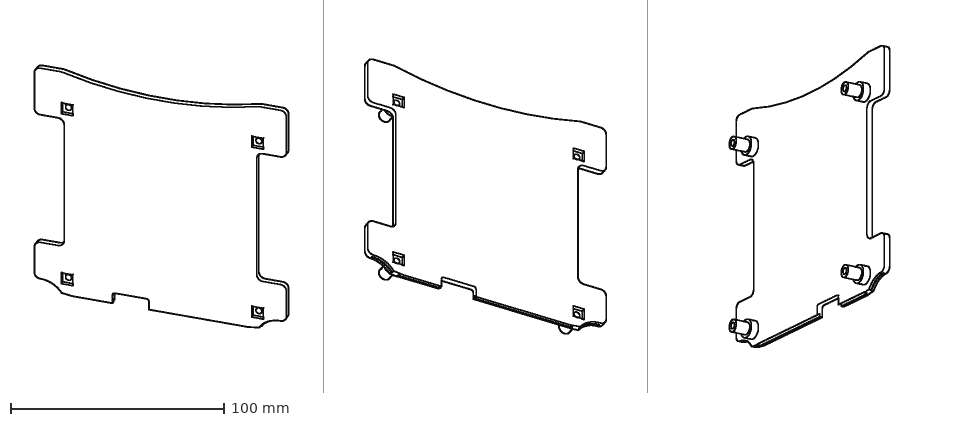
import cadquery as cq
import math

width = 126.0
height = 118.5
thickness = 3.0
half_width = width / 2

waist_half_width = 48.1
upper_arm_bottom = 93.6
lower_arm_top = 25.7
corner_radius = 3.0

top_arc_half_chord = 49.3
top_arc_depth = 6.2
top_blend_radius = 4.0

scallop_radius = 13.0
scallop_center_x = 60.5
scallop_center_z = -6.7
scallop_inner_z = 0.8
scallop_step = 0.5
bottom_flat_half_width = 43.7

lip_thickness = 1.5
groove_half_length = 45.9
groove_height = 1.5
groove_back_height = 0.5

notch_left = -24.0
notch_right = -5.8
notch_height = 5.5
notch_radius = 1.1

peg_columns = (-46.6, 48.5)
peg_rows = (8.6, 99.0)
collar_diameter = 9.0
collar_height = 3.9
pin_diameter = 6.0
pin_length = 7.5
bore_diameter = 3.0
socket_side = 5.8
socket_depth = 2.0


def scallop_point(angle):
    """Point on the right-hand scallop, with the angle measured from +X."""
    return (
        scallop_center_x + scallop_radius * math.cos(angle),
        scallop_center_z + scallop_radius * math.sin(angle),
    )


def mirrored(point):
    return (-point[0], point[1])


def fillet_upright(plate, x, z, radius):
    """Round the edge that crosses the plate thickness at (x, z)."""
    reach = 0.1
    box = cq.selectors.BoxSelector(
        (x - reach, -reach, z - reach),
        (x + reach, thickness + reach, z + reach),
    )
    return plate.edges(box).fillet(radius)


def build_plate():
    outer_angle = math.acos((half_width - scallop_center_x) / scallop_radius)
    inner_angle = math.pi - math.asin((scallop_inner_z - scallop_center_z) / scallop_radius)
    scallop_outer = scallop_point(outer_angle)
    scallop_middle = scallop_point((outer_angle + inner_angle) / 2)
    scallop_inner = scallop_point(inner_angle)

    plate = (
        cq.Workplane("XZ")
        .moveTo(-half_width, height)
        .lineTo(-top_arc_half_chord, height)
        .threePointArc((0, height - top_arc_depth), (top_arc_half_chord, height))
        .lineTo(half_width, height)
        .lineTo(half_width, upper_arm_bottom)
        .lineTo(waist_half_width, upper_arm_bottom)
        .lineTo(waist_half_width, lower_arm_top)
        .lineTo(half_width, lower_arm_top)
        .lineTo(*scallop_outer)
        .threePointArc(scallop_middle, scallop_inner)
        .lineTo(bottom_flat_half_width, 0)
        .lineTo(-bottom_flat_half_width, 0)
        .lineTo(*mirrored(scallop_inner))
        .threePointArc(mirrored(scallop_middle), mirrored(scallop_outer))
        .lineTo(-half_width, lower_arm_top)
        .lineTo(-waist_half_width, lower_arm_top)
        .lineTo(-waist_half_width, upper_arm_bottom)
        .lineTo(-half_width, upper_arm_bottom)
        .close()
        .extrude(-thickness)
    )

    for side in (-1, 1):
        for x, z, radius in (
            (half_width, height, corner_radius),
            (half_width, upper_arm_bottom, corner_radius),
            (waist_half_width, upper_arm_bottom, corner_radius),
            (waist_half_width, lower_arm_top, corner_radius),
            (half_width, lower_arm_top, corner_radius),
            (*scallop_outer, corner_radius),
            (top_arc_half_chord, height, top_blend_radius),
        ):
            plate = fillet_upright(plate, side * x, z, radius)
    return plate


def build_groove():
    """Groove along the bottom edge, highest against the lip and sloping down to the back."""
    return (
        cq.Workplane("YZ", origin=(-groove_half_length, 0, 0))
        .moveTo(lip_thickness, 0)
        .lineTo(lip_thickness, groove_height)
        .lineTo(thickness, groove_back_height)
        .lineTo(thickness, 0)
        .close()
        .extrude(2 * groove_half_length)
    )


def build_scallop_steps():
    """Cylinders that set the scallops further inward through the front lip only."""
    center_x = scallop_center_x - scallop_step
    centers = [(side * center_x, scallop_center_z) for side in (-1, 1)]
    return cq.Workplane("XZ").pushPoints(centers).circle(scallop_radius).extrude(-lip_thickness)


def build_notch():
    notch_width = notch_right - notch_left
    return (
        cq.Workplane("XY")
        .box(notch_width, thickness, notch_height, centered=(False, False, False))
        .edges("|Y and >Z")
        .fillet(notch_radius)
        .translate((notch_left, 0, 0))
    )


def peg_plane(y):
    """Sketch plane at depth y, with a point at every peg."""
    positions = [(x, z) for x in peg_columns for z in peg_rows]
    return cq.Workplane("XZ", origin=(0, y, 0)).pushPoints(positions)


collar_end = thickness + collar_height
peg_end = collar_end + pin_length

collars = peg_plane(thickness).circle(collar_diameter / 2).extrude(-collar_height)
pins = peg_plane(collar_end).circle(pin_diameter / 2).extrude(-pin_length)
bores = peg_plane(0).circle(bore_diameter / 2).extrude(-peg_end)
sockets = peg_plane(0).rect(socket_side, socket_side).extrude(-socket_depth)

plate = build_plate().cut(build_scallop_steps()).cut(build_groove()).cut(build_notch())
result = plate.union(collars).union(pins).cut(bores).cut(sockets)